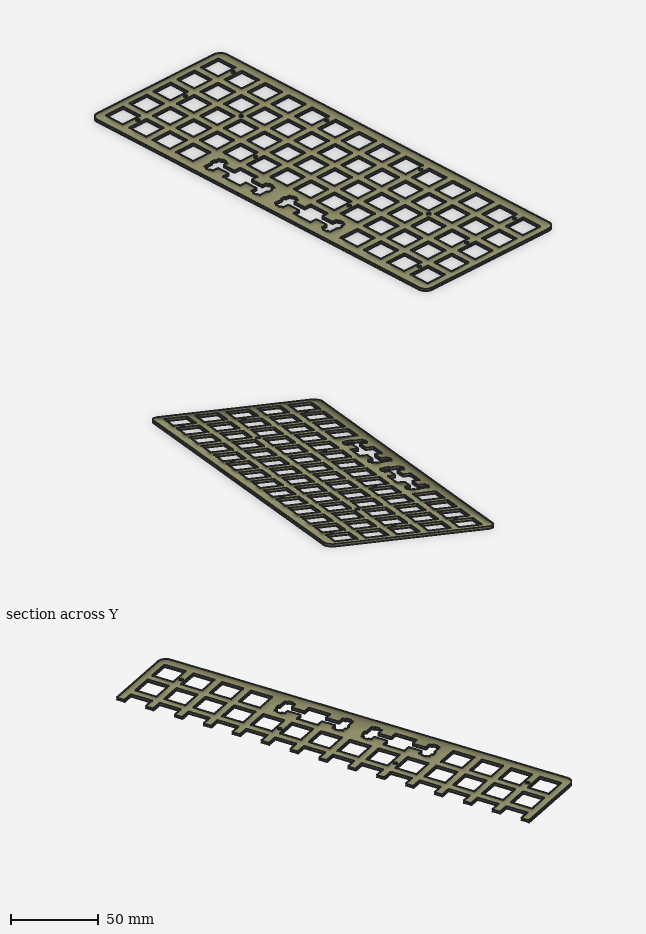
import cadquery as cq

LENGTH = 271.8
WIDTH = 103.5
THICKNESS = 1.6
CORNER_RADIUS = 5.2

COLUMNS = 14
ROWS = 5
END_MARGIN = 2.55
HALF_WEB = 2.53
PITCH = (LENGTH - 2 * END_MARGIN) / COLUMNS
OPENING = PITCH - 2 * HALF_WEB

WIDE_KEY_COLUMNS = (5, 8)
WIDE_KEY_SPAN = 1
FRONT_ROW = ROWS - 1
BAR_SLOT_WIDTH = 4.5
POCKET_WIDTH = 6.8
POCKET_BACK = 5.5
POCKET_FRONT = 6.5
TAB_WIDTH = 3.0
TAB_DEPTH = 0.9
SIDE_TAB_OFFSET = 1.0

HOLE_DIAMETER = 2.2
HOLE_OFFSET = HALF_WEB
HOLES_BY_ROW = {0: (1, 5, 9, 13), 2: (1, 13), 3: (5, 9), 4: (1, 13)}
CROSSING_HOLE_COLUMNS = (3, 11)
CROSSING_HOLE_ROW = 2


def column_x(column):
    """X of a column centre, counted from the left end."""
    return (column - (COLUMNS - 1) / 2) * PITCH


def row_y(row):
    """Y of a row centre, counted from the back edge."""
    return ((ROWS - 1) / 2 - row) * PITCH


def boundary_x(columns_to_left):
    """X of the line between two columns."""
    return column_x(columns_to_left) - PITCH / 2


def through_box(x, y, length, width):
    """Rectangular cutter through the plate, centred at (x, y)."""
    return cq.Workplane("XY").center(x, y).rect(length, width).extrude(THICKNESS)


def key_centres():
    """Centres of every key opening, including those of the wide keys."""
    points = []
    for row in range(ROWS):
        for column in range(COLUMNS):
            covered = any(0 < abs(column - wide) <= WIDE_KEY_SPAN for wide in WIDE_KEY_COLUMNS)
            if row != FRONT_ROW or not covered:
                points.append((column_x(column), row_y(row)))
    return points


def hole_centres():
    """Centres of the screw holes."""
    points = []
    for row, columns in HOLES_BY_ROW.items():
        for columns_to_left in columns:
            points.append((boundary_x(columns_to_left), row_y(row) + HOLE_OFFSET))
    crossing_y = row_y(CROSSING_HOLE_ROW) + PITCH / 2
    for columns_to_left in CROSSING_HOLE_COLUMNS:
        points.append((boundary_x(columns_to_left), crossing_y))
    return points


def stabiliser_pocket(x, y, outward):
    """Pocket at x on a key centre line y; outward is the sign of its side-notch direction."""
    pocket_length = POCKET_BACK + POCKET_FRONT
    pocket_y = y + (POCKET_BACK - POCKET_FRONT) / 2
    body = through_box(x, pocket_y, POCKET_WIDTH, pocket_length)
    end_tabs = through_box(x, pocket_y, TAB_WIDTH, pocket_length + 2 * TAB_DEPTH)
    side_length = POCKET_WIDTH / 2 + TAB_DEPTH
    side_x = x + outward * side_length / 2
    side_tab = through_box(side_x, y + SIDE_TAB_OFFSET, side_length, TAB_WIDTH)
    return body.union(end_tabs).union(side_tab)


def wide_key_cutter(column):
    """Bar slot and the two stabiliser pockets of one wide key."""
    x = column_x(column)
    y = row_y(FRONT_ROW)
    cutter = through_box(x, y, 2 * PITCH, BAR_SLOT_WIDTH)
    for side in (-1, 1):
        cutter = cutter.union(stabiliser_pocket(x + side * PITCH, y, side))
    return cutter


plate = through_box(0, 0, LENGTH, WIDTH).edges("|Z").fillet(CORNER_RADIUS)
openings = cq.Workplane("XY").pushPoints(key_centres()).rect(OPENING, OPENING).extrude(THICKNESS)
holes = cq.Workplane("XY").pushPoints(hole_centres()).circle(HOLE_DIAMETER / 2).extrude(THICKNESS)

result = plate.cut(openings).cut(holes)
for wide_column in WIDE_KEY_COLUMNS:
    result = result.cut(wide_key_cutter(wide_column))